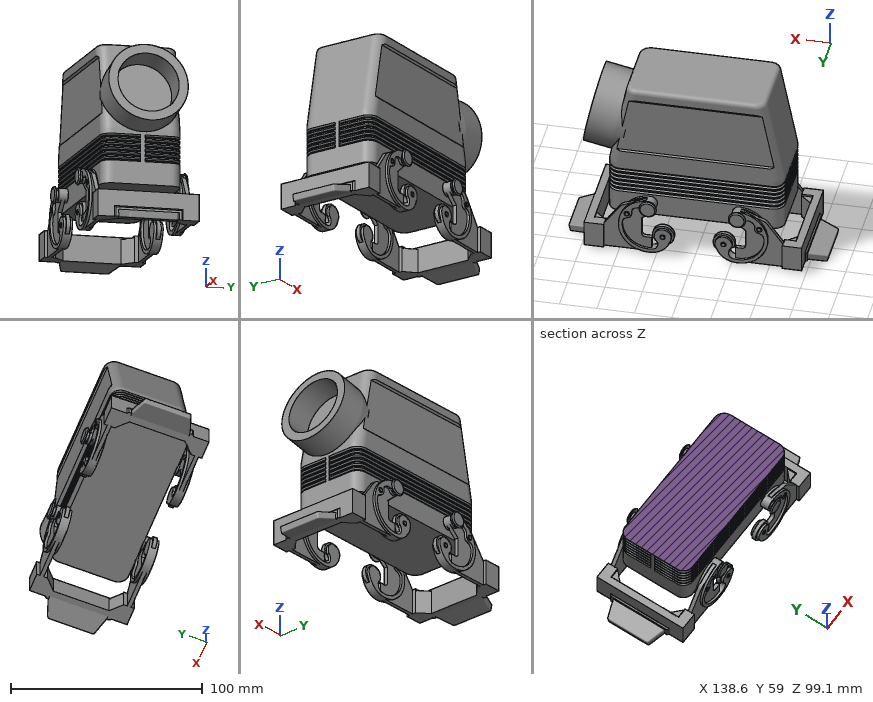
import cadquery as cq
import math


overall_length = 138.59
overall_width = 59.0
overall_height = 99.1

hood_length = 93.5
hood_width = 43.1
hood_height = 76.2
wall_tilt = 11.5
bend_z = 29.6
bend_radius = 6.0
corner_radius = 6.0
top_fillet = 2.5

panel_depth = 0.8
panel_bottom_z = 37.4
panel_top_z = 70.2
panel_bottom_slope = 0.8
panel_top_slope = 1.2

groove_count = 6
groove_pitch = 2.5
groove_height = 1.8
groove_depth = 0.8
groove_floor = 0.3
lowest_groove_z = 12.2
groove_web_width = 2.6
groove_cutter_margin = 0.5

entry_diameter = 43.0
entry_length = 15.1
entry_face_x = 57.9
entry_face_z = 52.3
entry_bore_diameter = 33.0
entry_root_end_diameter = 41.8
entry_root_length = 5.4

plate_inner_y = 23.4
plate_outer_y = 25.6
hook_inner_y = 22.0
hook_outer_y = 27.0

pin_centre = (-23.8, 7.6)
ring_centre = (pin_centre[0], -4.6)
ring_radius = 16.0
ring_inner_radius = 14.0
boss_radius = ring_centre[1] + ring_radius - pin_centre[1]
hook_centre = (-16.2, -10.0)
hook_radius = 4.6
roller_radius = 5.8
rivet_centre = (-35.3, 2.1)
rivet_lobe_radius = 2.5
plate_lobe_radius = 5.0
notch_centre = (-22.1, -15.2)
notch_radius = 3.2
hook_heel = (-16.5, -18.4)
rim_to_lobe = (-36.6, -1.2)
lobe_to_boss = (-32.0, 5.4)
boss_shoulder = (-29.5, 6.7)
throat_x = -27.7
throat_top_z = -0.6
throat_bottom_z = -12.0
throat_corner_radius = 2.0
plate_tip_x = -22.3

pin_stem_radius = 2.6
pin_embed = 1.0
pin_head_radius = 4.6
pin_head_thickness = 0.9
pin_head_bevel = 0.7
rivet_radius = 1.4
rivet_height = 0.4
rivet_bevel = 0.35

bar_outer_x = -58.0
bar_inner_x = -53.7
arm_end_x = -47.65
bar_width = 54.8
arm_thickness = 6.0
bar_top_z = -6.2
bar_bottom_z = -20.45
gusset_size = 5.8
gusset_drop = 1.0
tab_tilt = 13.0
tab_root_z = -16.5
tab_root_half_width = 16.9
tab_tip_half_width = 12.9
tab_corner_radius = 1.2
tab_edge_fillet = 0.6
tab_embed = 2.0
pad_half_width = 18.6
pad_thickness = 0.9
pad_bevel = 0.8
pad_top_z = -14.7

half_length = hood_length / 2
half_width = hood_width / 2


def polar(centre, radius, degrees):
    angle = math.radians(degrees)
    return (centre[0] + radius * math.cos(angle), centre[1] + radius * math.sin(angle))


def tangent_angle(point, centre, radius, side):
    """Angle, seen from the circle's centre, of its tangent point from an outside point."""
    dx = point[0] - centre[0]
    dz = point[1] - centre[1]
    spread = math.acos(radius / math.hypot(dx, dz))
    return math.degrees(math.atan2(dz, dx) + side * spread) % 360


def crest_angle():
    """Direction square to the plate's straight crest, which touches its lobe and its boss."""
    dx = pin_centre[0] - rivet_centre[0]
    dz = pin_centre[1] - rivet_centre[1]
    spread = math.acos((plate_lobe_radius - boss_radius) / math.hypot(dx, dz))
    return math.degrees(math.atan2(dz, dx) + spread)


def between_y(draw_outline, near_y, far_y):
    """Extrude an XZ outline on the -Y side, from y = -near_y to y = -far_y."""
    plane = cq.Workplane("XZ", origin=(0, -near_y, 0))
    return draw_outline(plane).extrude(far_y - near_y)


def disc(centre, radius, near_y, far_y):
    return between_y(lambda plane: plane.center(*centre).circle(radius), near_y, far_y)


def make_hood():
    top_half_length = half_length - (hood_height - bend_z) * math.tan(math.radians(wall_tilt))
    outline = [
        (-half_length, 0),
        (half_length, 0),
        (half_length, bend_z),
        (top_half_length, hood_height),
        (-top_half_length, hood_height),
        (-half_length, bend_z),
    ]
    hood = cq.Workplane("XZ").polyline(outline).close().extrude(half_width, both=True)
    bends = cq.selectors.BoxSelector(
        (-hood_length, -hood_width, bend_z / 2), (hood_length, hood_width, 1.5 * bend_z)
    )
    hood = hood.edges("|Y").edges(bends).fillet(bend_radius)
    hood = hood.edges("#Y and (not #Z)").fillet(corner_radius)
    return hood.faces(">Z").edges().fillet(top_fillet)


def cut_side_panels(hood):
    floor_y = half_width - panel_depth
    section = [
        (floor_y, panel_bottom_z + panel_bottom_slope),
        (half_width, panel_bottom_z),
        (half_width + panel_depth, panel_bottom_z),
        (half_width + panel_depth, panel_top_z),
        (half_width, panel_top_z),
        (floor_y, panel_top_z - panel_top_slope),
    ]
    panel = cq.Workplane("YZ").polyline(section).close().extrude(half_length, both=True)
    return hood.cut(panel).cut(panel.mirror("XZ"))


def make_groove(bottom_z):
    slope_height = (groove_height - groove_floor) / 2
    slope = math.degrees(math.atan(groove_depth / slope_height))

    def narrowing_core(start_z, height):
        core = cq.Workplane("XY", origin=(0, 0, start_z)).sketch()
        core = core.rect(hood_length, hood_width).vertices().fillet(corner_radius).finalize()
        return core.extrude(height, taper=slope)

    floor_core = (
        cq.Workplane("XY", origin=(0, 0, bottom_z))
        .rect(hood_length - 2 * groove_depth, hood_width - 2 * groove_depth)
        .extrude(groove_height)
        .edges("|Z")
        .fillet(corner_radius - groove_depth)
    )
    lower_core = narrowing_core(bottom_z, slope_height)
    upper_core = narrowing_core(0, slope_height).mirror("XY")
    upper_core = upper_core.translate((0, 0, bottom_z + groove_height))
    cutter_length = hood_length + 2 * groove_cutter_margin
    cutter_width = hood_width + 2 * groove_cutter_margin
    web = cq.Workplane("XY", origin=(0, 0, bottom_z)).rect(cutter_length, groove_web_width)
    ring = cq.Workplane("XY", origin=(0, 0, bottom_z)).rect(cutter_length, cutter_width)
    ring = ring.extrude(groove_height).cut(floor_core).cut(lower_core).cut(upper_core)
    return ring.cut(web.extrude(groove_height))


def add_cable_entry(hood):
    tilt = math.radians(wall_tilt)
    face = cq.Plane(
        origin=(entry_face_x, 0, entry_face_z),
        xDir=(0, 1, 0),
        normal=(math.cos(tilt), 0, math.sin(tilt)),
    )
    collar = cq.Workplane(face).circle(entry_diameter / 2).extrude(-entry_length)
    root = cq.Workplane(
        cq.Solid.makeCone(
            entry_diameter / 2,
            entry_root_end_diameter / 2,
            entry_root_length,
            pnt=face.toWorldCoords((0, 0, -entry_length)),
            dir=-face.zDir,
        )
    )
    bore = cq.Workplane(face).circle(entry_bore_diameter / 2).extrude(-entry_length)
    return hood.union(collar).union(root).cut(bore)


def hook_outline(plane):
    """C-shaped hook running from the pivot boss down and round to the hook end."""
    ring_bottom = polar(ring_centre, ring_radius, -90)
    notch_bottom = polar(notch_centre, notch_radius, -90)
    return (
        plane.moveTo(*polar(ring_centre, ring_radius, 90))
        .threePointArc(polar(ring_centre, ring_radius, 180), ring_bottom)
        .threePointArc(hook_heel, polar(hook_centre, hook_radius, -30))
        .threePointArc(polar(hook_centre, hook_radius, 90), polar(hook_centre, hook_radius, 210))
        .threePointArc(polar(notch_centre, notch_radius, -20), notch_bottom)
        .threePointArc(
            polar(ring_centre, ring_inner_radius, 220), polar(ring_centre, ring_inner_radius, 175)
        )
        .threePointArc(rim_to_lobe, polar(rivet_centre, rivet_lobe_radius, -80))
        .threePointArc(
            polar(rivet_centre, rivet_lobe_radius, -35), polar(rivet_centre, rivet_lobe_radius, 5)
        )
        .threePointArc(lobe_to_boss, boss_shoulder)
        .lineTo(*polar(pin_centre, boss_radius, 200))
        .threePointArc(polar(pin_centre, boss_radius, 0), polar(pin_centre, boss_radius, 90))
        .close()
    )


def plate_outline(plane):
    """Flat side plate of a lever, from the handle bar to the pivot and the throat."""
    heel = (arm_end_x, bar_top_z)
    throat_top = (throat_x, throat_top_z)
    lobe_start = tangent_angle(heel, rivet_centre, plate_lobe_radius, -1)
    crest = crest_angle()
    boss_end = tangent_angle(throat_top, pin_centre, boss_radius, 1)
    corner_centre = (throat_x + throat_corner_radius, throat_bottom_z + throat_corner_radius)
    return (
        plane.moveTo(bar_inner_x, bar_bottom_z)
        .lineTo(bar_inner_x, bar_top_z)
        .lineTo(*heel)
        .lineTo(*polar(rivet_centre, plate_lobe_radius, lobe_start))
        .threePointArc(
            polar(rivet_centre, plate_lobe_radius, (lobe_start + crest) / 2),
            polar(rivet_centre, plate_lobe_radius, crest),
        )
        .lineTo(*polar(pin_centre, boss_radius, crest))
        .lineTo(*pin_centre)
        .lineTo(*polar(pin_centre, boss_radius, boss_end))
        .lineTo(*throat_top)
        .lineTo(*polar(corner_centre, throat_corner_radius, 180))
        .threePointArc(
            polar(corner_centre, throat_corner_radius, 225),
            polar(corner_centre, throat_corner_radius, 270),
        )
        .lineTo(plate_tip_x, throat_bottom_z)
        .lineTo(plate_tip_x, bar_bottom_z)
        .close()
    )


def crest_relief_outline(plane):
    """Region above the plate's crest, where the plate stands below the hook's rim."""
    crest = crest_angle()
    return plane.polyline(
        [
            polar(rivet_centre, plate_lobe_radius, crest),
            polar(pin_centre, boss_radius, crest),
            polar(pin_centre, 2 * boss_radius, crest),
            polar(rivet_centre, 2 * plate_lobe_radius, crest),
        ]
    ).close()


def make_lever_side():
    side = between_y(plate_outline, plate_inner_y, plate_outer_y)
    roller = disc(hook_centre, roller_radius, plate_inner_y, plate_outer_y)
    notch = disc(notch_centre, notch_radius, plate_inner_y, plate_outer_y)
    side = side.union(roller.cut(notch))
    hook = between_y(hook_outline, hook_inner_y, hook_outer_y)
    hook = hook.cut(between_y(crest_relief_outline, plate_inner_y, plate_outer_y))
    side = side.union(hook)
    for centre in (rivet_centre, hook_centre):
        rivet = disc(centre, rivet_radius, plate_outer_y, hook_outer_y + rivet_height)
        side = side.union(rivet.faces("<Y").edges().chamfer(rivet_bevel))
    head_outer_y = overall_width / 2
    stem_start_y = half_width - pin_embed
    stem = disc(pin_centre, pin_stem_radius, stem_start_y, head_outer_y)
    head = disc(pin_centre, pin_head_radius, head_outer_y - pin_head_thickness, head_outer_y)
    head = head.faces("<Y").edges().chamfer(pin_head_bevel)
    return side.union(stem).union(head)


def make_tab():
    """Sloping finger tab on the handle bar."""
    tilt = math.radians(tab_tilt)
    rounding_loss = tab_edge_fillet * (math.cos(tilt) + math.sin(tilt) - 1)
    tip_x = -overall_length / 2 - rounding_loss
    reach = (bar_outer_x - tip_x) / math.cos(tilt)
    tip_top_z = tab_root_z - reach * math.sin(tilt)
    tip_bottom_z = hood_height - overall_height - rounding_loss
    thickness = (tip_top_z - tip_bottom_z) / math.cos(tilt)
    outline = [
        (tab_embed, -tab_root_half_width),
        (0, -tab_root_half_width),
        (-reach, -tab_tip_half_width),
        (-reach, tab_tip_half_width),
        (0, tab_root_half_width),
        (tab_embed, tab_root_half_width),
    ]
    tab = cq.Workplane("XY").polyline(outline).close().extrude(-thickness)
    tab = tab.edges("|Z and <X").fillet(tab_corner_radius)
    tab = tab.faces("|Z").edges("not >X").fillet(tab_edge_fillet)
    tab = tab.rotate((0, 0, 0), (0, 1, 0), -tab_tilt)
    return tab.translate((bar_outer_x, 0, tab_root_z))


def make_handle():
    arm_inner_y = bar_width / 2 - arm_thickness
    bar_height = bar_top_z - bar_bottom_z
    bottom = cq.Workplane("XY", origin=(0, 0, bar_bottom_z))
    outline = [
        (bar_outer_x, -bar_width / 2),
        (arm_end_x, -bar_width / 2),
        (arm_end_x, -arm_inner_y),
        (bar_inner_x, -arm_inner_y),
        (bar_inner_x, arm_inner_y),
        (arm_end_x, arm_inner_y),
        (arm_end_x, bar_width / 2),
        (bar_outer_x, bar_width / 2),
    ]
    handle = bottom.polyline(outline).close().extrude(bar_height)
    gusset_outline = [
        (bar_inner_x, -arm_inner_y),
        (arm_end_x, -arm_inner_y),
        (bar_inner_x, -arm_inner_y + gusset_size),
    ]
    gusset = bottom.polyline(gusset_outline).close().extrude(bar_height - gusset_drop)
    pad = cq.Workplane("XY").box(
        pad_thickness, 2 * pad_half_width, pad_top_z - bar_bottom_z, centered=(False, True, False)
    )
    pad = pad.faces("<X").edges("not <Z").chamfer(pad_bevel)
    pad = pad.translate((bar_outer_x - pad_thickness, 0, bar_bottom_z))
    handle = handle.union(gusset).union(gusset.mirror("XZ"))
    return handle.union(pad).union(make_tab())


def make_lever():
    side = make_lever_side()
    return make_handle().union(side).union(side.mirror("XZ"))


hood = cut_side_panels(make_hood())
for index in range(groove_count):
    hood = hood.cut(make_groove(lowest_groove_z + index * groove_pitch))
hood = add_cable_entry(hood)
lever = make_lever()
result = hood.union(lever).union(lever.mirror("YZ"))